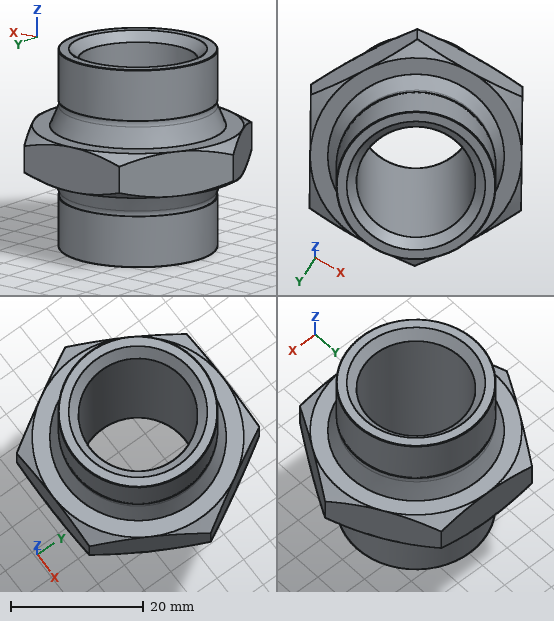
import cadquery as cq
import math

ACROSS_CORNERS = 36.95
HEX_HEIGHT = 7.0
HEX_CHAMFER_ANGLE = 30.0
TOTAL_HEIGHT = 31.0
BORE_DIAMETER = 18.0
BORE_CHAMFER = 1.48
SPIGOT_DIAMETER = 24.13
SPIGOT_LENGTH = 8.0
SPIGOT_CHAMFER = 0.1
NECK_DIAMETER = 23.85
NECK_LENGTH = 0.9
CONE_TOP_DIAMETER = 24.05
CONE_BASE_DIAMETER = 26.68

half_height = TOTAL_HEIGHT / 2
half_hex = HEX_HEIGHT / 2
corner_radius = ACROSS_CORNERS / 2
flat_radius = corner_radius * math.cos(math.radians(30))
bore_radius = BORE_DIAMETER / 2
spigot_radius = SPIGOT_DIAMETER / 2
neck_radius = NECK_DIAMETER / 2
neck_top = half_height - SPIGOT_LENGTH
neck_bottom = neck_top - NECK_LENGTH


def make_hexagon():
    """Hexagonal collar with corners on X, its edges cut by conical chamfers."""
    collar = cq.Workplane("XY").polygon(6, ACROSS_CORNERS).extrude(half_hex, both=True)
    corner_drop = (corner_radius - flat_radius) * math.tan(math.radians(HEX_CHAMFER_ANGLE))
    corner_z = half_hex - corner_drop
    chamfer_envelope = (
        cq.Workplane("XZ")
        .moveTo(0, -half_hex)
        .lineTo(flat_radius, -half_hex)
        .lineTo(corner_radius, -corner_z)
        .lineTo(corner_radius, corner_z)
        .lineTo(flat_radius, half_hex)
        .lineTo(0, half_hex)
        .close()
        .revolve(360, (0, 0, 0), (0, 1, 0))
    )
    return collar.intersect(chamfer_envelope)


def make_upper_end():
    """Solid upper half: flared shoulder, rounded neck and spigot with a broken end edge."""
    return (
        cq.Workplane("XZ")
        .moveTo(0, 0)
        .lineTo(CONE_BASE_DIAMETER / 2, 0)
        .lineTo(CONE_BASE_DIAMETER / 2, half_hex)
        .lineTo(CONE_TOP_DIAMETER / 2, neck_bottom)
        .tangentArcPoint((neck_radius, neck_top), relative=False)
        .lineTo(spigot_radius, neck_top)
        .lineTo(spigot_radius, half_height - SPIGOT_CHAMFER)
        .lineTo(spigot_radius - SPIGOT_CHAMFER, half_height)
        .lineTo(0, half_height)
        .close()
        .revolve(360, (0, 0, 0), (0, 1, 0))
    )


def make_bore():
    """Through bore, widened by a 45 degree chamfer at both mouths."""
    mouth_radius = bore_radius + BORE_CHAMFER
    chamfer_z = half_height - BORE_CHAMFER
    return (
        cq.Workplane("XZ")
        .moveTo(0, -half_height)
        .lineTo(mouth_radius, -half_height)
        .lineTo(bore_radius, -chamfer_z)
        .lineTo(bore_radius, chamfer_z)
        .lineTo(mouth_radius, half_height)
        .lineTo(0, half_height)
        .close()
        .revolve(360, (0, 0, 0), (0, 1, 0))
    )


upper_end = make_upper_end()
lower_end = upper_end.mirror("XY")
body = make_hexagon().union(upper_end).union(lower_end)
result = body.cut(make_bore())